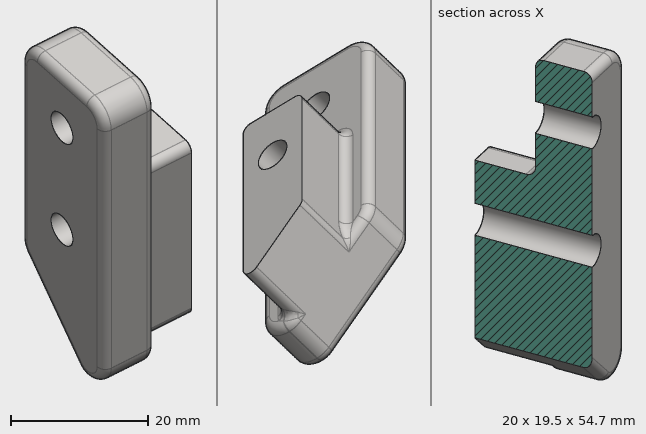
import cadquery as cq

width = 20.0
height = 54.7
plate_depth = 9.45
corner_radius = 4.0
edge_radius = 1.5

total_depth = 19.5
boss_width = 11.0
boss_drop = 19.95
boss_corner_radius = 1.5
boss_left = (width - boss_width) / 2
boss_right = boss_left + boss_width
boss_top = height - boss_drop
junction_radius = 1.5

hole_diameter = 5.3
hole_drops = (10.0, 30.0)

slope_start = 14.7

tip_radius = 3.0


def slope_height(x):
    """Height of the 45 degree lower side at a given X."""
    return slope_start - x


def sloped_prism(outline, front, back):
    """Prism along Y through the given X, Z outline."""
    return cq.Workplane("XZ", origin=(0, front, 0)).polyline(outline).close().extrude(front - back)


def make_plate():
    outline = [
        (0, height),
        (width, height),
        (width, 0),
        (slope_start, 0),
        (0, slope_height(0)),
    ]
    plate = sloped_prism(outline, 0, plate_depth)
    tip_edge = cq.selectors.NearestToPointSelector((slope_start, plate_depth / 2, 0))
    plate = plate.edges(tip_edge).fillet(tip_radius)
    for corner_x, corner_z in [(0, height), (width, height), (width, 0), (0, slope_start)]:
        corner_edge = cq.selectors.NearestToPointSelector((corner_x, plate_depth / 2, corner_z))
        plate = plate.edges(corner_edge).fillet(corner_radius)
    return plate.faces("<Y or >Y").edges().fillet(edge_radius)


def make_boss():
    outline = [
        (boss_left, boss_top),
        (boss_right, boss_top),
        (boss_right, slope_height(boss_right)),
        (boss_left, slope_height(boss_left)),
    ]
    return sloped_prism(outline, plate_depth / 2, total_depth).edges("|Y").fillet(boss_corner_radius)


def make_holes():
    return (
        cq.Workplane("XZ")
        .pushPoints([(width / 2, height - drop) for drop in hole_drops])
        .circle(hole_diameter / 2)
        .extrude(-total_depth)
    )

def round_junction(body):
    """Fillet where the boss walls rise from the flat back face of the plate."""
    tolerance = 0.05
    root_box = cq.selectors.BoxSelector(
        (boss_left - tolerance, plate_depth - tolerance, edge_radius),
        (boss_right + tolerance, plate_depth + tolerance, boss_top + tolerance),
        boundingbox=True,
    )
    return body.edges(root_box).fillet(junction_radius)


body = round_junction(make_plate().union(make_boss()))
result = body.cut(make_holes())